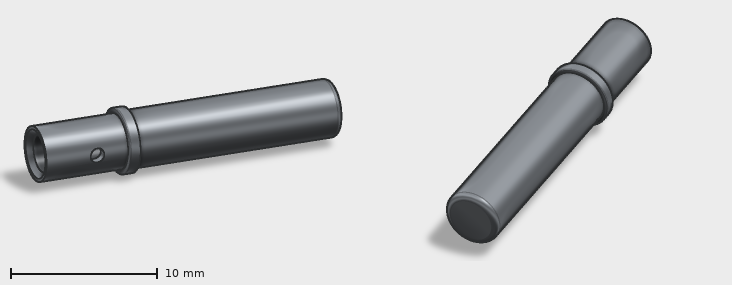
import cadquery as cq

length = 21.92
front_y = -length / 2
barrel_length = 6.03
flange_thickness = 0.8

barrel_diameter = 3.88
flange_diameter = 4.63
body_diameter = 4.05
flange_fillet = 0.07
tip_fillet = 0.42

bore_diameter = 2.6
mouth_diameter = 3.4
mouth_depth = (mouth_diameter - bore_diameter) / 2
bore_depth = barrel_length
cone_depth = bore_diameter / 4

inspection_diameter = 1.0
inspection_distance = 3.77


def cylinder(diameter, start, height):
    """Cylinder on the Y axis, starting the given distance behind the front end."""
    base = cq.Vector(0, front_y + start, 0)
    return cq.Workplane(cq.Solid.makeCylinder(diameter / 2, height, base, cq.Vector(0, 1, 0)))


def make_bore():
    """Countersunk blind bore with a conical bottom."""
    profile = (
        cq.Workplane("XY")
        .moveTo(0, front_y)
        .lineTo(mouth_diameter / 2, front_y)
        .lineTo(bore_diameter / 2, front_y + mouth_depth)
        .lineTo(bore_diameter / 2, front_y + bore_depth)
        .lineTo(0, front_y + bore_depth + cone_depth)
        .close()
    )
    return profile.revolve(360, (0, 0, 0), (0, 1, 0))


def make_inspection_hole():
    """Radial hole from the bore axis out through the +X wall."""
    base = cq.Vector(0, front_y + inspection_distance, 0)
    return cq.Workplane(
        cq.Solid.makeCylinder(inspection_diameter / 2, barrel_diameter, base, cq.Vector(1, 0, 0))
    )


barrel = cylinder(barrel_diameter, 0, barrel_length)
flange = cylinder(flange_diameter, barrel_length, flange_thickness)
flange = flange.edges("%CIRCLE").fillet(flange_fillet)
body = cylinder(body_diameter, barrel_length, length - barrel_length)
body = body.faces(">Y").edges().fillet(tip_fillet)

result = barrel.union(body).union(flange).cut(make_bore()).cut(make_inspection_hole())